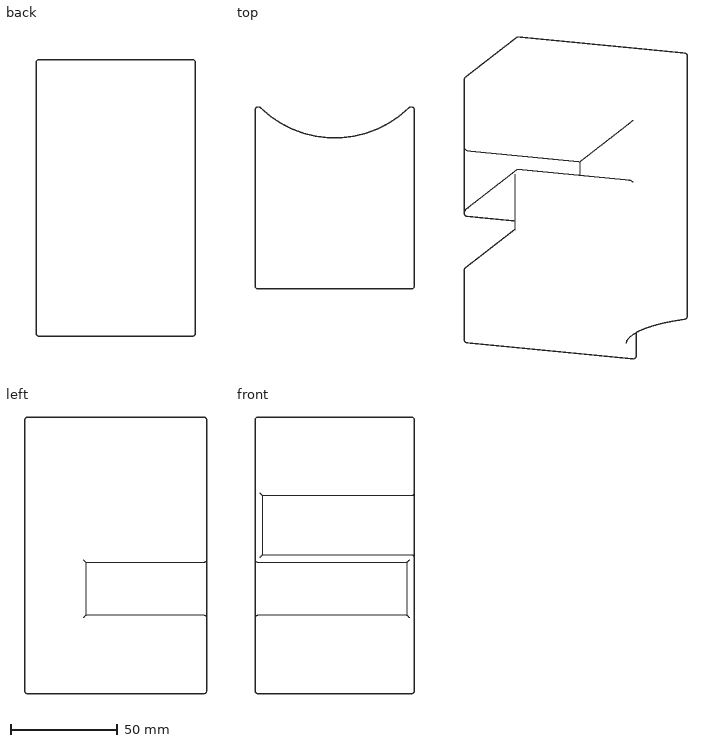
import cadquery as cq

width = 75.0
depth = 85.7
height = 130.3
edge_radius = 1.4

wall = 3.5
pocket_depth = 57.0
lower_floor_z = 37.0
shelf_bottom_z = 61.9
shelf_top_z = shelf_bottom_z + wall
upper_ceiling_z = height - lower_floor_z

saddle_radius = 50.0
saddle_depth = 14.6


def block():
    return cq.Workplane("XY").box(width, depth, height, centered=(True, False, False))


def saddle():
    axis_y = depth - saddle_depth + saddle_radius
    return cq.Workplane("XY").center(0, axis_y).circle(saddle_radius).extrude(height)


def pocket(left_x, bottom_z, top_z):
    """Pocket open at the front face and at one side, with a thin wall left on the other."""
    return (
        cq.Workplane("XY", origin=(left_x, 0, bottom_z))
        .box(width - wall, pocket_depth, top_z - bottom_z, centered=False)
    )


upper_pocket = pocket(-width / 2 + wall, shelf_top_z, upper_ceiling_z)
lower_pocket = pocket(-width / 2, lower_floor_z, shelf_bottom_z)
body = block().cut(saddle()).cut(upper_pocket).cut(lower_pocket)

margin = wall / 2
inner_corners = cq.selectors.BoxSelector(
    (-width / 2 + margin, margin, lower_floor_z - margin),
    (width / 2 - margin, pocket_depth + margin, upper_ceiling_z + margin),
)
result = body.edges(cq.selectors.InverseSelector(inner_corners)).fillet(edge_radius)